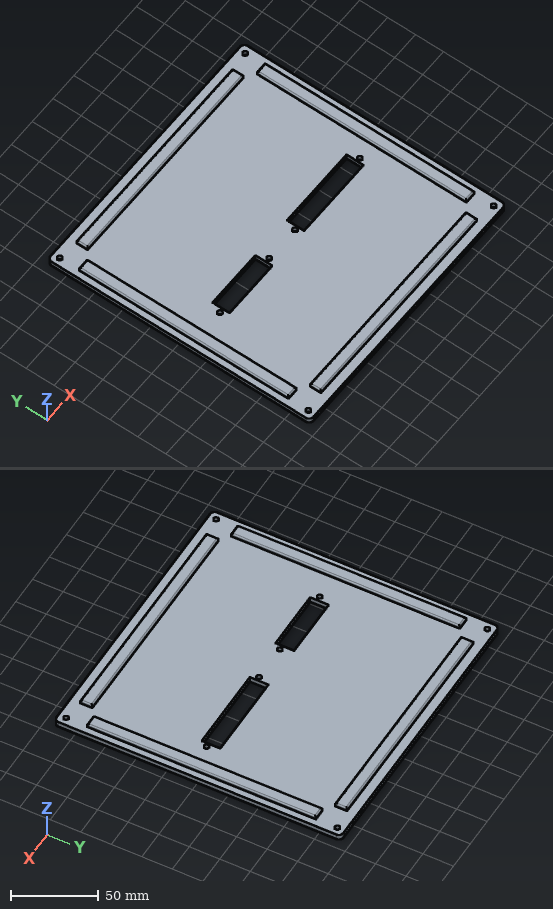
import cadquery as cq

plate_side = 188.0
total_height = 6.0
strip_height = 2.0
plate_thickness = total_height - strip_height
corner_radius = 3.0

hole_diameter = 3.2
corner_hole_inset = 5.0

strip_length = 149.8
strip_width = 7.9
strip_edge_radius = 1.0
side_strip_offset = 85.4
end_strip_offset = 83.5

window_height = 12.0
window_center_y = -6.0
screw_y = -7.5
short_window_x = -41.0
short_window_length = 41.0
short_screw_spacing = 47.2
long_window_x = 38.5
long_window_length = 57.0
long_screw_spacing = 62.2


def make_plate():
    half_hole_spacing = plate_side / 2 - corner_hole_inset
    corners = [(sx * half_hole_spacing, sy * half_hole_spacing) for sx in (-1, 1) for sy in (-1, 1)]
    plate = cq.Workplane("XY").rect(plate_side, plate_side).extrude(plate_thickness)
    plate = plate.edges("|Z").fillet(corner_radius)
    return plate.cut(make_hole_cutters(corners))


def make_hole_cutters(centers):
    return cq.Workplane("XY").pushPoints(centers).circle(hole_diameter / 2).extrude(plate_thickness)


def make_strip(x, y, length_x, length_y):
    """Raised bar with rounded top edges, standing on the plate."""
    strip = cq.Workplane("XY", origin=(x, y, plate_thickness)).rect(length_x, length_y).extrude(strip_height)
    return strip.faces(">Z").edges().fillet(strip_edge_radius)


def cut_connector(body, center_x, window_length, screw_spacing):
    window = (
        cq.Workplane("XY")
        .center(center_x, window_center_y)
        .rect(window_length, window_height)
        .extrude(plate_thickness)
    )
    screws = [(center_x + side * screw_spacing / 2, screw_y) for side in (-1, 1)]
    return body.cut(window).cut(make_hole_cutters(screws))


result = make_plate()
for side in (-1, 1):
    result = result.union(make_strip(side * side_strip_offset, 0, strip_width, strip_length))
    result = result.union(make_strip(0, side * end_strip_offset, strip_length, strip_width))
result = cut_connector(result, short_window_x, short_window_length, short_screw_spacing)
result = cut_connector(result, long_window_x, long_window_length, long_screw_spacing)